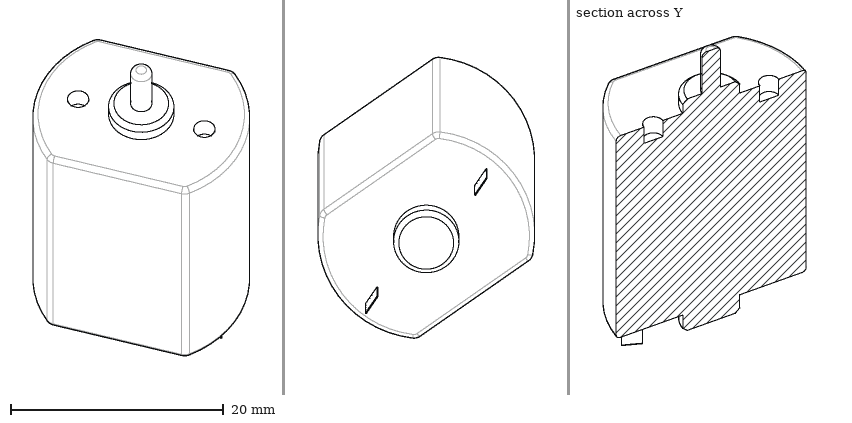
import cadquery as cq
import math

BODY_DIAMETER = 20.4
BODY_DEPTH = 15.4
BODY_HEIGHT = 25.1
CORNER_RADIUS = 1.0
RIM_RADIUS = 0.5

BOSS_DIAMETER = 6.15
BOSS_CHAMFER = 0.5
TOP_BOSS_HEIGHT = 1.6
BOTTOM_BOSS_HEIGHT = 2.1

SHAFT_DIAMETER = 2.0
SHAFT_LENGTH = 6.6
SHAFT_TIP_RADIUS = 0.5

HOLE_DIAMETER = 2.0
HOLE_OFFSET = 6.2
HOLE_DEPTH = 2.0

TAB_WIDTH = 2.0
TAB_THICKNESS = 0.1
TAB_LENGTH = 3.0
TAB_ANGLE = -20.7
TAB_OFFSET_X = 7.57
TAB_OFFSET_Y = 1.68


def make_body():
    """Can with two flats, rounded corners and rounded end rims."""
    radius = BODY_DIAMETER / 2
    half_depth = BODY_DEPTH / 2
    half_flat = math.sqrt(radius**2 - half_depth**2)
    outline = (
        cq.Workplane("XY")
        .moveTo(-half_flat, -half_depth)
        .lineTo(half_flat, -half_depth)
        .threePointArc((radius, 0), (half_flat, half_depth))
        .lineTo(-half_flat, half_depth)
        .threePointArc((-radius, 0), (-half_flat, -half_depth))
        .close()
    )
    body = outline.extrude(BODY_HEIGHT).edges("|Z").fillet(CORNER_RADIUS)
    return body.faces("<Z or >Z").edges().fillet(RIM_RADIUS)


def make_boss(base_z, height):
    """Round boss on base_z, chamfered at its free end; a negative height points down."""
    boss = cq.Workplane("XY").workplane(offset=base_z).circle(BOSS_DIAMETER / 2).extrude(height)
    free_end = ">Z" if height > 0 else "<Z"
    return boss.faces(free_end).edges().chamfer(BOSS_CHAMFER)


def make_shaft():
    """Shaft standing on the top face, with a rounded tip."""
    top_plane = cq.Workplane("XY").workplane(offset=BODY_HEIGHT)
    shaft = top_plane.circle(SHAFT_DIAMETER / 2).extrude(SHAFT_LENGTH)
    return shaft.faces(">Z").edges().fillet(SHAFT_TIP_RADIUS)


def make_tabs():
    """Two turned terminal tabs hanging from the bottom face."""
    tab = cq.Workplane("XY").rect(TAB_WIDTH, TAB_THICKNESS).extrude(-TAB_LENGTH)
    turned_tab = tab.rotate((0, 0, 0), (0, 0, 1), TAB_ANGLE)
    left_tab = turned_tab.translate((-TAB_OFFSET_X, TAB_OFFSET_Y, 0))
    right_tab = turned_tab.translate((TAB_OFFSET_X, -TAB_OFFSET_Y, 0))
    return left_tab.union(right_tab)


def make_hole_cutters():
    """Cylinders that cut the blind mounting holes down from the top face."""
    hole_centres = [(-HOLE_OFFSET, 0), (HOLE_OFFSET, 0)]
    top_plane = cq.Workplane("XY").workplane(offset=BODY_HEIGHT)
    return top_plane.pushPoints(hole_centres).circle(HOLE_DIAMETER / 2).extrude(-HOLE_DEPTH)


result = (
    make_body()
    .cut(make_hole_cutters())
    .union(make_boss(BODY_HEIGHT, TOP_BOSS_HEIGHT))
    .union(make_boss(0, -BOTTOM_BOSS_HEIGHT))
    .union(make_shaft())
    .union(make_tabs())
)